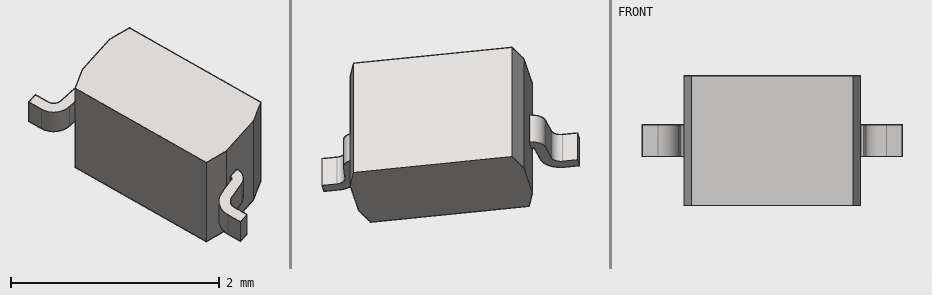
import cadquery as cq
import math

overall_length = 2.5
overall_depth = 1.0

body_length = 1.7
body_depth = 0.9
body_height = 1.25
bevel_length = 0.075
bevel_depth = 0.225

lead_thickness = 0.11
lead_width = 0.308
foot_length = 0.15
lead_exit_y = 0.5
foot_bend_radius = 0.092
exit_bend_radius = 0.02
leg_tilt = math.radians(6.0)


def make_body():
    """Block with its four Z edges bevelled."""
    half_length = body_length / 2
    end_x = half_length - bevel_length
    back_y = overall_depth
    front_y = overall_depth - body_depth
    outline = [
        (-end_x, front_y),
        (end_x, front_y),
        (half_length, front_y + bevel_depth),
        (half_length, back_y - bevel_depth),
        (end_x, back_y),
        (-end_x, back_y),
        (-half_length, back_y - bevel_depth),
        (-half_length, front_y + bevel_depth),
    ]
    return cq.Workplane("XY").polyline(outline).close().extrude(body_height / 2, both=True)


def arc_point(center, radius, angle):
    """Point on a circle, with the angle in radians from +X."""
    return (center[0] + radius * math.cos(angle), center[1] + radius * math.sin(angle))


def make_lead(side):
    """S-bent strip that butts against one body end: side -1 is at -X, side +1 at +X."""
    tip_x = -overall_length / 2
    body_x = -body_length / 2
    foot_outer_radius = foot_bend_radius + lead_thickness
    exit_outer_radius = exit_bend_radius + lead_thickness

    foot_center = (tip_x + foot_length, foot_outer_radius)
    exit_center_y = lead_exit_y - exit_outer_radius
    center_rise = exit_center_y - foot_center[1]
    center_run = (
        (foot_bend_radius + exit_outer_radius) / math.cos(leg_tilt)
        + center_rise * math.tan(leg_tilt)
    )
    exit_center = (foot_center[0] + center_run, exit_center_y)

    foot_start = -math.pi / 2
    foot_end = -leg_tilt
    foot_middle = (foot_start + foot_end) / 2
    exit_start = math.pi - leg_tilt
    exit_end = math.pi / 2
    exit_middle = (exit_start + exit_end) / 2

    profile = (
        cq.Workplane("XY")
        .moveTo(tip_x, 0)
        .lineTo(foot_center[0], 0)
        .threePointArc(
            arc_point(foot_center, foot_outer_radius, foot_middle),
            arc_point(foot_center, foot_outer_radius, foot_end),
        )
        .lineTo(*arc_point(exit_center, exit_bend_radius, exit_start))
        .threePointArc(
            arc_point(exit_center, exit_bend_radius, exit_middle),
            arc_point(exit_center, exit_bend_radius, exit_end),
        )
        .lineTo(body_x, lead_exit_y - lead_thickness)
        .lineTo(body_x, lead_exit_y)
        .lineTo(exit_center[0], lead_exit_y)
        .threePointArc(
            arc_point(exit_center, exit_outer_radius, exit_middle),
            arc_point(exit_center, exit_outer_radius, exit_start),
        )
        .lineTo(*arc_point(foot_center, foot_bend_radius, foot_end))
        .threePointArc(
            arc_point(foot_center, foot_bend_radius, foot_middle),
            arc_point(foot_center, foot_bend_radius, foot_start),
        )
        .lineTo(tip_x, lead_thickness)
        .close()
    )
    lead = profile.extrude(lead_width / 2, both=True)
    return lead if side < 0 else lead.mirror("YZ")


body = make_body()
leads = [make_lead(side) for side in (-1, 1)]

result = cq.Compound.makeCompound([body.val(), *[lead.val() for lead in leads]])